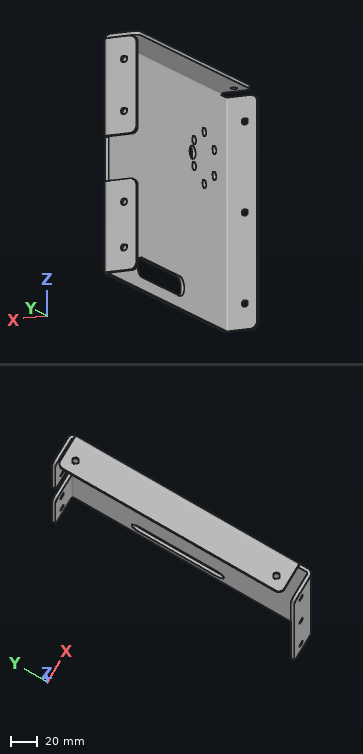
import cadquery as cq

depth = 28.0
width = 210.5
height = 184.5
sheet = 3.0
inner_bend_radius = 1.5
bend_radius = sheet + inner_bend_radius
corner_radius = 5.0

half_plate_width = width / 2 - bend_radius
plate_height = height - bend_radius

lower_tab_height = 70.0
upper_tab_bottom = 105.0
top_flange_length = 194.7

flange_hole_diameter = 5.0
hole_edge_distance = 10.0
front_hole_spacing = 70.0
tab_hole_inset = 17.5

ring_y = -63.8
ring_z = 125.0
ring_radius = 20.0
ring_hole_count = 6
ring_hole_diameter = 6.3
large_hole_diameter = 10.0

slot_y = 10.7
slot_z = 17.3
slot_length = 80.0
slot_width = 15.0


def bent_flange(plane, origin, length, thickness_axis):
    """Flange with its bend; local x is global X, local y points out of the plate edge."""
    bend_start = depth - bend_radius
    flange = (
        cq.Workplane(plane, origin=origin)
        .moveTo(depth, 0)
        .radiusArc((bend_start, bend_radius), -bend_radius)
        .lineTo(0, bend_radius)
        .lineTo(0, inner_bend_radius)
        .lineTo(bend_start, inner_bend_radius)
        .radiusArc((depth - sheet, 0), inner_bend_radius)
        .close()
        .extrude(length)
    )
    return flange.faces("<X").edges("|" + thickness_axis).fillet(corner_radius)


def drill_side(flange, heights):
    """Drill a side flange through its thickness at the given Z heights."""
    points = [(hole_edge_distance, z) for z in heights]
    drill = (
        cq.Workplane("XZ")
        .pushPoints(points)
        .circle(flange_hole_diameter / 2)
        .extrude(width, both=True)
    )
    return flange.cut(drill)


def side_flange(bottom, top, hole_heights):
    """Flange on the +Y edge of the plate."""
    flange = bent_flange("XY", (0, half_plate_width, bottom), top - bottom, "Y")
    return drill_side(flange, hole_heights)


def plate():
    body = cq.Workplane("XY").box(
        sheet, 2 * half_plate_width, plate_height, centered=(False, True, False)
    ).translate((depth - sheet, 0, 0))
    face = cq.Workplane("YZ")
    ring = (
        face.center(ring_y, ring_z)
        .polarArray(ring_radius, 90, 360, ring_hole_count)
        .circle(ring_hole_diameter / 2)
        .extrude(depth)
    )
    large_hole = (
        face.center(ring_y + ring_radius, ring_z)
        .circle(large_hole_diameter / 2)
        .extrude(depth)
    )
    slot = face.center(slot_y, slot_z).slot2D(slot_length, slot_width).extrude(depth)
    return body.cut(ring).cut(large_hole).cut(slot)


def top_flange():
    flange = bent_flange("XZ", (0, half_plate_width, plate_height), top_flange_length, "Z")
    hole_ys = (
        half_plate_width - hole_edge_distance,
        half_plate_width - top_flange_length + hole_edge_distance,
    )
    drill = (
        cq.Workplane("XY")
        .pushPoints([(hole_edge_distance, y) for y in hole_ys])
        .circle(flange_hole_diameter / 2)
        .extrude(height)
    )
    return flange.cut(drill)


middle = plate_height / 2
front_holes = [middle + step * front_hole_spacing for step in (-1, 0, 1)]
front_flange = side_flange(0, plate_height, front_holes).mirror("XZ")

result = plate().union(front_flange).union(top_flange())
for bottom, top in ((0, lower_tab_height), (upper_tab_bottom, plate_height)):
    tab_holes = (bottom + tab_hole_inset, top - tab_hole_inset)
    result = result.union(side_flange(bottom, top, tab_holes))